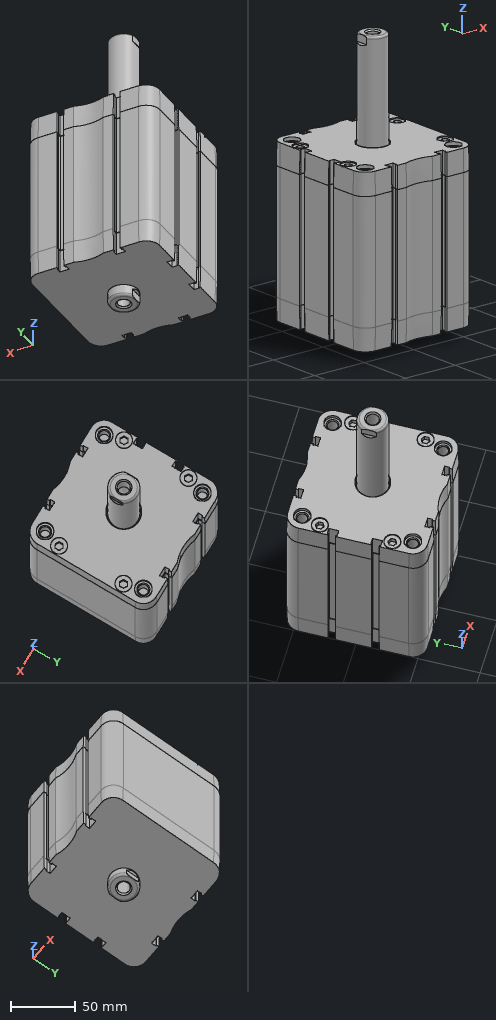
import cadquery as cq
import math

ROD_LENGTH = 247.0
BASE_Z = 10.0
BODY_HEIGHT = 147.0
CAP_HEIGHT = 19.8
TOP_Z = BASE_Z + BODY_HEIGHT
LOWER_JOINT_Z = BASE_Z + CAP_HEIGHT
UPPER_JOINT_Z = TOP_Z - CAP_HEIGHT

WIDTH = 113.5
HALF_WIDTH = WIDTH / 2
CORNER_RADIUS = 12.4
DIP_HALF_WIDTH = 13.0
DIP_DEPTH = 2.5
END_INSET = 0.5
DRAFT_ANGLE = math.degrees(math.atan(END_INSET / CAP_HEIGHT))

SLOT_MOUTH = 6.0
SLOT_UNDERCUT = 7.0
Y_FACE_SLOT_OFFSET = 25.0
Y_FACE_SLOT_LIP = 3.0
Y_FACE_SLOT_DEPTH = 6.5
X_FACE_SLOT_OFFSET = 17.5
X_FACE_SLOT_LIP = 1.7
X_FACE_SLOT_DEPTH = 6.0
END_SLOT_CLEARANCE = 0.5

MOUNT_OFFSET = HALF_WIDTH - CORNER_RADIUS
MOUNT_COUNTERBORE = 13.5
MOUNT_COUNTERBORE_DEPTH = 3.0
MOUNT_THREAD = 10.1
MOUNT_CORE = 8.5
MOUNT_DEPTH = 17.3

SCREW_X = 49.0
SCREW_Y = 29.1
SCREW_HEAD = 13.0
SCREW_HEAD_HEIGHT = 8.0
SCREW_SHANK = 6.0
SCREW_GRIP = 14.8
SCREW_RECESS = 1.0
SOCKET_FLATS = 6.0
SOCKET_DEPTH = 4.0
SCREW_TOP_Z = TOP_Z - SCREW_RECESS
SCREW_SEAT_Z = SCREW_TOP_Z - SCREW_HEAD_HEIGHT
SCREW_TIP_Z = UPPER_JOINT_Z - SCREW_GRIP

ROD_DIAMETER = 25.0
ROD_RADIUS = ROD_DIAMETER / 2
ROD_END_RADIUS = 2.0
ROD_FLATS = 22.0
FLAT_DEPTH = ROD_RADIUS - ROD_FLATS / 2
FLAT_LENGTH = 7.0
ROD_HOLE = 10.1
ROD_HOLE_MOUTH = 12.5
ROD_HOLE_DEPTH = 22.2
DRILL_HALF_ANGLE = 59.0
ROD_RECESS = 27.0
ROD_RECESS_MOUTH = 28.0
ROD_RECESS_DEPTH = 5.0


def cylinder(diameter, bottom, top, x=0.0, y=0.0):
    """Upright cylinder between two heights."""
    return cq.Workplane("XY", origin=(x, y, bottom)).circle(diameter / 2).extrude(top - bottom)


def cone(bottom_diameter, top_diameter, bottom, top, x=0.0, y=0.0):
    """Upright cone frustum between two heights."""
    solid = cq.Solid.makeCone(bottom_diameter / 2, top_diameter / 2, top - bottom, cq.Vector(x, y, bottom))
    return cq.Workplane(obj=solid)


def mirrored_places(x, y):
    """The four places mirrored about both vertical middle planes."""
    return [(sx * x, sy * y) for sx in (-1, 1) for sy in (-1, 1)]


def outline(z):
    """Rounded square with a shallow arc-shaped dip in its +Y and -Y sides."""
    straight_end = HALF_WIDTH - CORNER_RADIUS
    diagonal = straight_end + CORNER_RADIUS * math.sqrt(0.5)
    dip_bottom = HALF_WIDTH - DIP_DEPTH
    return (
        cq.Workplane("XY", origin=(0, 0, z))
        .moveTo(-straight_end, -HALF_WIDTH)
        .lineTo(-DIP_HALF_WIDTH, -HALF_WIDTH)
        .threePointArc((0, -dip_bottom), (DIP_HALF_WIDTH, -HALF_WIDTH))
        .lineTo(straight_end, -HALF_WIDTH)
        .threePointArc((diagonal, -diagonal), (HALF_WIDTH, -straight_end))
        .lineTo(HALF_WIDTH, straight_end)
        .threePointArc((diagonal, diagonal), (straight_end, HALF_WIDTH))
        .lineTo(DIP_HALF_WIDTH, HALF_WIDTH)
        .threePointArc((0, dip_bottom), (-DIP_HALF_WIDTH, HALF_WIDTH))
        .lineTo(-straight_end, HALF_WIDTH)
        .threePointArc((-diagonal, diagonal), (-HALF_WIDTH, straight_end))
        .lineTo(-HALF_WIDTH, -straight_end)
        .threePointArc((-diagonal, -diagonal), (-straight_end, -HALF_WIDTH))
        .close()
    )


def slot_cutter(bottom, top, offset, lip, depth, clearance, turn):
    """T-slot in the -Y face, turned about Z to the wanted face."""
    height = top - bottom
    floor = depth + clearance
    undercut_depth = floor - lip
    mouth = (
        cq.Workplane("XY", origin=(offset, -HALF_WIDTH, bottom))
        .rect(SLOT_MOUTH, 2 * floor)
        .extrude(height)
    )
    undercut = (
        cq.Workplane("XY", origin=(offset, -HALF_WIDTH + lip + undercut_depth / 2, bottom))
        .rect(SLOT_UNDERCUT + 2 * clearance, undercut_depth)
        .extrude(height)
    )
    return mouth.union(undercut).rotate((0, 0, 0), (0, 0, 1), turn)


def cut_slots(body, bottom, top, clearance=0.0):
    """Two T-slots in each of the -Y, +Y and -X faces, between two heights."""
    y_face = (Y_FACE_SLOT_LIP, Y_FACE_SLOT_DEPTH, clearance)
    x_face = (X_FACE_SLOT_LIP, X_FACE_SLOT_DEPTH, clearance)
    for side in (-1, 1):
        body = body.cut(slot_cutter(bottom, top, side * Y_FACE_SLOT_OFFSET, *y_face, 0))
        body = body.cut(slot_cutter(bottom, top, side * Y_FACE_SLOT_OFFSET, *y_face, 180))
        body = body.cut(slot_cutter(bottom, top, side * X_FACE_SLOT_OFFSET, *x_face, -90))
    return body


def screw_blank(x, y):
    """Cap screw without its socket: also the shape of the hole that holds it."""
    head = cylinder(SCREW_HEAD, SCREW_SEAT_Z, SCREW_TOP_Z, x, y)
    shank = cylinder(SCREW_SHANK, SCREW_TIP_Z, SCREW_SEAT_Z, x, y)
    return head.union(shank)


def cap_screw(x, y):
    """Cap screw with a hexagon socket that has corners towards +Y and -Y."""
    across_corners = SOCKET_FLATS / math.cos(math.radians(30))
    socket = (
        cq.Workplane("XY", origin=(x, y, SCREW_TOP_Z))
        .transformed(rotate=(0, 0, 90))
        .polygon(6, across_corners)
        .extrude(-SOCKET_DEPTH)
    )
    return screw_blank(x, y).cut(socket)


def make_housing():
    """Barrel in one piece with its drafted lower end."""
    barrel = outline(LOWER_JOINT_Z).extrude(UPPER_JOINT_Z - LOWER_JOINT_Z)
    lower_end = outline(LOWER_JOINT_Z).extrude(-CAP_HEIGHT, taper=DRAFT_ANGLE)
    barrel = cut_slots(barrel, LOWER_JOINT_Z, UPPER_JOINT_Z)
    lower_end = cut_slots(lower_end, BASE_Z, LOWER_JOINT_Z, END_SLOT_CLEARANCE)
    housing = barrel.union(lower_end)
    housing = housing.cut(cylinder(ROD_DIAMETER, BASE_Z, UPPER_JOINT_Z))
    for x, y in mirrored_places(SCREW_X, SCREW_Y):
        housing = housing.cut(screw_blank(x, y))
    return housing


def mounting_hole(x, y):
    """Counterbored hole with a chamfered thread entry and a flat floor."""
    ledge_z = TOP_Z - MOUNT_COUNTERBORE_DEPTH
    chamfer_z = ledge_z - (MOUNT_THREAD - MOUNT_CORE) / 2
    counterbore = cylinder(MOUNT_COUNTERBORE, ledge_z, TOP_Z, x, y)
    entry = cone(MOUNT_CORE, MOUNT_THREAD, chamfer_z, ledge_z, x, y)
    core = cylinder(MOUNT_CORE, TOP_Z - MOUNT_DEPTH, chamfer_z, x, y)
    return counterbore.union(entry).union(core)


def make_top_cap():
    """Drafted top cap with mounting holes, screw holes and the rod opening."""
    cap = outline(UPPER_JOINT_Z).extrude(CAP_HEIGHT, taper=DRAFT_ANGLE)
    cap = cut_slots(cap, UPPER_JOINT_Z, TOP_Z, END_SLOT_CLEARANCE)
    mouth_z = TOP_Z - (ROD_RECESS_MOUTH - ROD_RECESS) / 2
    cap = cap.cut(cylinder(ROD_DIAMETER, UPPER_JOINT_Z, TOP_Z))
    cap = cap.cut(cylinder(ROD_RECESS, TOP_Z - ROD_RECESS_DEPTH, TOP_Z))
    cap = cap.cut(cone(ROD_RECESS, ROD_RECESS_MOUTH, mouth_z, TOP_Z))
    for x, y in mirrored_places(MOUNT_OFFSET, MOUNT_OFFSET):
        cap = cap.cut(mounting_hole(x, y))
    for x, y in mirrored_places(SCREW_X, SCREW_Y):
        cap = cap.cut(screw_blank(x, y))
        cap = cap.cut(cylinder(SCREW_HEAD, SCREW_TOP_Z, TOP_Z, x, y))
    return cap


def wrench_flat():
    """Cutter for the +X flat at the upper rod end, with a 45 degree run-out."""
    flat_x = ROD_RADIUS - FLAT_DEPTH
    flat_z = ROD_LENGTH - FLAT_LENGTH
    profile = [
        (flat_x, ROD_LENGTH),
        (flat_x, flat_z),
        (ROD_RADIUS, flat_z - FLAT_DEPTH),
        (ROD_RADIUS, ROD_LENGTH),
    ]
    return cq.Workplane("XZ").polyline(profile).close().extrude(ROD_RADIUS, both=True)


def rod_end_hole():
    """Chamfered blind hole with a drill point in the upper rod end."""
    chamfer_z = ROD_LENGTH - (ROD_HOLE_MOUTH - ROD_HOLE) / 2
    floor_z = ROD_LENGTH - ROD_HOLE_DEPTH
    point_height = ROD_HOLE / 2 / math.tan(math.radians(DRILL_HALF_ANGLE))
    mouth = cone(ROD_HOLE, ROD_HOLE_MOUTH, chamfer_z, ROD_LENGTH)
    bore = cylinder(ROD_HOLE, floor_z, chamfer_z)
    point = cone(0, ROD_HOLE, floor_z - point_height, floor_z)
    return mouth.union(bore).union(point)


def make_rod():
    """Through rod with two identical ends."""
    rod = cylinder(ROD_DIAMETER, 0, ROD_LENGTH)
    rod = rod.faces("<Z or >Z").edges().fillet(ROD_END_RADIUS)
    middle = (0, 0, ROD_LENGTH / 2)
    flat = wrench_flat()
    end_cuts = flat.union(flat.mirror("YZ")).union(rod_end_hole())
    return rod.cut(end_cuts).cut(end_cuts.mirror("XY", middle))


housing = make_housing()
top_cap = make_top_cap()
rod = make_rod()
screws = [cap_screw(x, y) for x, y in mirrored_places(SCREW_X, SCREW_Y)]

bodies = [housing, top_cap, rod, *screws]
result = cq.Compound.makeCompound([body.solids().val() for body in bodies])